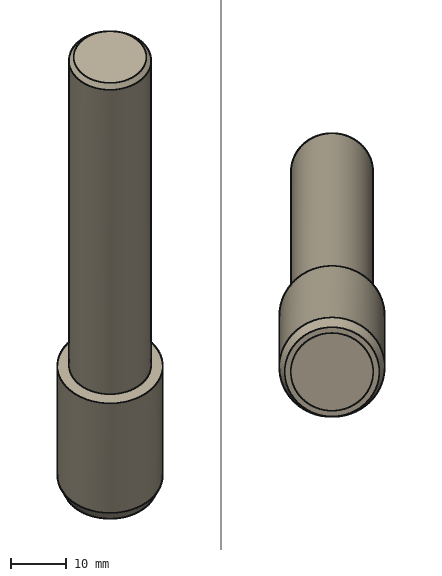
import cadquery as cq

total_length = 110.0
pin_diameter = 14.8
pin_chamfer = 0.9
sleeve_diameter = 19.0
sleeve_edge_height = 30.7
sleeve_crown_rise = 0.2
sleeve_taper_height = 2.5
sleeve_taper_inset = 1.0

pin_radius = pin_diameter / 2
sleeve_radius = sleeve_diameter / 2


def make_pin():
    """Round pin over the full length, chamfered at its top end."""
    pin = cq.Workplane("XY").circle(pin_radius).extrude(total_length)
    return pin.faces(">Z").chamfer(pin_chamfer)


def make_sleeve():
    """Sleeve around the pin, with a tapered bottom end and a shallow conical top."""
    profile = (
        cq.Workplane("XZ")
        .moveTo(pin_radius, 0)
        .lineTo(sleeve_radius - sleeve_taper_inset, 0)
        .lineTo(sleeve_radius, sleeve_taper_height)
        .lineTo(sleeve_radius, sleeve_edge_height)
        .lineTo(pin_radius, sleeve_edge_height + sleeve_crown_rise)
        .close()
    )
    return profile.revolve(360, (0, 0, 0), (0, 1, 0))


pin = make_pin()
sleeve = make_sleeve()

result = cq.Compound.makeCompound([pin.val(), sleeve.val()])